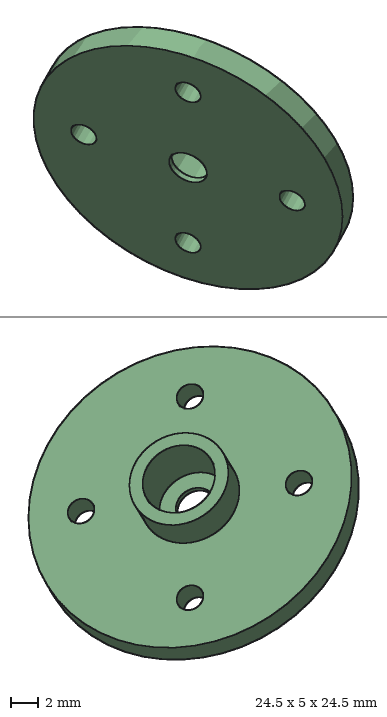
import cadquery as cq

disc_diameter = 24.5
disc_thickness = 2.0
total_depth = 5.0
hub_diameter = 7.5
bore_diameter = 3.0
bore_lip_thickness = 0.5
socket_diameter = 5.5
bolt_hole_diameter = 2.0
bolt_circle_diameter = 16.51
bolt_hole_count = 4



def cylinder_along_y(diameter, length):
    """Solid cylinder on the Y axis, from y = 0 to y = length."""
    return cq.Workplane("XZ").circle(diameter / 2).extrude(-length)


def bolt_holes():
    """Cutters for the evenly spaced holes through the disc."""
    return (
        cq.Workplane("XZ")
        .polarArray(bolt_circle_diameter / 2, 0, 360, bolt_hole_count)
        .circle(bolt_hole_diameter / 2)
        .extrude(-disc_thickness)
    )


disc = cylinder_along_y(disc_diameter, disc_thickness)
hub = cylinder_along_y(hub_diameter, total_depth)
bore = cylinder_along_y(bore_diameter, total_depth)

socket_depth = total_depth - bore_lip_thickness
socket = cylinder_along_y(socket_diameter, socket_depth).translate((0, bore_lip_thickness, 0))

result = disc.union(hub).cut(bore).cut(socket).cut(bolt_holes())